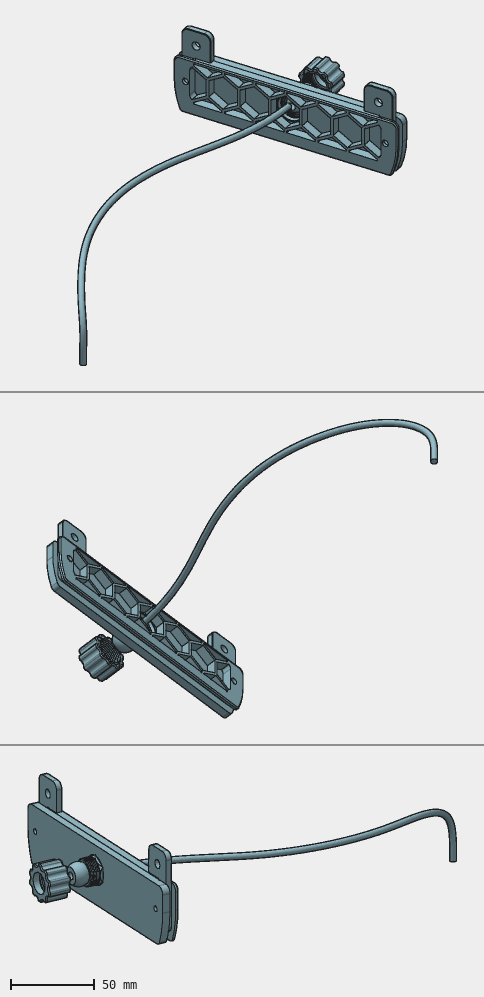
import cadquery as cq
import math


plate_length = 154.8
plate_top = 16.2
plate_bottom = -22.2
plate_top_radius = 4.4
plate_bottom_radius = 3.0
plate_side_arc_radius = 57.0
bezel_thickness = 2.2
bezel_edge_chamfer = 0.8
core_depth = 4.0
back_plate_thickness = 5.1
core_length = 133.8
core_bottom = -16.1
core_corner_radius = 3.4

cell_pitch = 21.5
rib_width = 1.9
honeycomb_length = 132.2
honeycomb_height = 28.0
end_cell_corner_radius = 3.0
cell_columns = 7

screw_spacing = 138.2
screw_clearance_diameter = 4.2
screw_pilot_diameter = 3.4

tab_spacing = 126.0
tab_width = 20.0
tab_top = 35.8
tab_corner_radius = 4.5
tab_foot_radius = 3.5
tab_front_chamfer = 0.4
tab_clearance = 0.5
tab_hole_diameter = 5.5
tab_hole_height = 25.6

shank_diameter = 19.0
hexagon_across_flats = 17.3
hexagon_length = 1.8
thread_major_diameter = 17.53
thread_minor_diameter = 16.0
thread_length = 6.1
thread_turns = 6
dome_diameter = 15.24
dome_end_diameter = 11.0
neck_diameter = 13.46
neck_length = 0.3
cable_bore_diameter = 4.7
mouth_diameter = 17.53
mouth_depth = 2.0
socket_diameters = (16.0, 15.24, 13.46)
socket_step_depth = 1.0
nose_diameter = 11.0
nose_length = 3.5
nose_shoulder_diameter = 9.425
nose_shoulder_height = 2.1

nut_rear = 50.55
nut_length = 15.4
nut_diameter = 24.4
nut_flutes = 10
flute_radius = 2.2
flute_circle_diameter = 25.4
flute_edge_radius = 1.1
nut_edge_chamfer = 0.8
nut_bore_diameter = 16.77
nut_thread_groove_diameter = 18.2
nut_bore_depth = 11.0
nut_thread_turns = 9
nut_outlet_diameter = 13.46

cable_diameter = 4.2
cable_end_height = -48.68
cable_end_depth = -238.4
cable_start_tangent = (-0.05, -1, 0)
cable_bends = (
    (-1.9, 7.2, 0),
    (-13.0, -42.4, 0),
    (-30.6, -84.4, 0),
    (-39.0, -129.0, 0),
    (-32.9, -173.7, -1.2),
    (-16.6, -212.2, -6.2),
    (-5.5, -230.5, -16.2),
    (-1.0, -236.7, -26.0),
    (0, cable_end_depth, -37.0),
    (0, cable_end_depth, cable_end_height),
)

core_back = bezel_thickness + core_depth
back_plate_rear = core_back + back_plate_thickness
sides = (-1, 1)


def facing_front(depth):
    """Sketch plane at a given Y: local x is X, local y is Z, extruding toward +Y when negative."""
    return cq.Workplane("XZ", origin=(0, depth, 0))


def rod(x, z, diameter, start, end):
    """Cylinder along Y between two depths."""
    return facing_front(start).center(x, z).circle(diameter / 2).extrude(start - end)


def plate(start, thickness):
    """Plate with straight upper sides and lower sides that curve inward below Z = 0."""
    half = plate_length / 2

    def side_x(z):
        return half - plate_side_arc_radius + math.sqrt(plate_side_arc_radius**2 - z**2)

    middle = plate_bottom / 2
    outline = (
        facing_front(start)
        .moveTo(half, 0)
        .lineTo(half, plate_top)
        .lineTo(-half, plate_top)
        .lineTo(-half, 0)
        .threePointArc((-side_x(middle), middle), (-side_x(plate_bottom), plate_bottom))
        .lineTo(side_x(plate_bottom), plate_bottom)
        .threePointArc((side_x(middle), middle), (half, 0))
        .close()
    )
    body = outline.extrude(-thickness)
    body = body.edges("|Y").edges(">Z").fillet(plate_top_radius)
    return body.edges("|Y").edges("<Z").fillet(plate_bottom_radius)


def screw_holes(diameter, start, end):
    holes = cq.Workplane()
    for side in sides:
        holes = holes.add(rod(side * screw_spacing / 2, 0, diameter, start, end))
    return holes.combine()


def core(start, end):
    """Rounded block that stands between the two plates."""
    block = facing_front(start).center(0, (plate_top + core_bottom) / 2)
    block = block.rect(core_length, plate_top - core_bottom).extrude(start - end)
    return block.edges("|Y").fillet(core_corner_radius)


def hexagon(across_flats, length):
    """Hexagonal prism along +Y from Y = 0, with two flats facing +-X."""
    across_corners = across_flats / math.cos(math.pi / 6)
    prism = facing_front(0).polygon(6, across_corners).extrude(-length)
    return prism.rotate((0, 0, 0), (0, 1, 0), 30)


def honeycomb_pockets():
    """Three rows of hexagonal cells, trimmed to a rectangle, with the end cells' corners rounded."""
    row_pitch = cell_pitch * math.cos(math.pi / 6)
    centres = []
    for column in range(cell_columns):
        centres.append(((column - (cell_columns - 1) / 2) * cell_pitch, 0))
    for row in (-1, 1):
        for column in range(cell_columns - 1):
            centres.append(((column - cell_columns / 2 + 1) * cell_pitch, row * row_pitch))
    cell = hexagon(cell_pitch - rib_width, core_back)
    cells = cq.Workplane()
    for x, z in centres:
        cells = cells.add(cell.translate((x, 0, z)))
    window = facing_front(0).rect(honeycomb_length, honeycomb_height).extrude(-core_back)
    pockets = cells.combine().intersect(window)
    return pockets.faces("<X or >X").edges("|Y").fillet(end_cell_corner_radius)


def make_bezel():
    face = plate(0, bezel_thickness).faces("<Y").chamfer(bezel_edge_chamfer)
    body = face.union(core(bezel_thickness, core_back))
    body = body.cut(honeycomb_pockets())
    return body.cut(screw_holes(screw_clearance_diameter, 0, core_back))


def make_back_plate():
    body = plate(core_back, back_plate_thickness)
    body = body.cut(rod(0, 0, shank_diameter, core_back, back_plate_rear))
    return body.cut(screw_holes(screw_pilot_diameter, core_back, back_plate_rear))


def make_tab(side):
    """Tab that rests over a core corner, with a leg reaching down past the screw."""
    x = side * tab_spacing / 2
    body = facing_front(bezel_thickness).center(x, (tab_top + core_bottom) / 2)
    body = body.rect(tab_width, tab_top - core_bottom).extrude(-core_depth)
    body = body.edges("|Y").edges(">Z").fillet(tab_corner_radius)
    body = body.edges("|Y").edges("<Z").fillet(tab_foot_radius)
    body = body.faces("<Y").edges().chamfer(tab_front_chamfer)
    body = body.cut(core(bezel_thickness, core_back))
    flat_length = core_length - 2 * core_corner_radius
    gap = facing_front(bezel_thickness).center(0, plate_top + tab_clearance / 2)
    gap = gap.rect(flat_length, tab_clearance).extrude(-core_depth)
    body = body.cut(gap)
    body = body.cut(screw_holes(screw_clearance_diameter, bezel_thickness, core_back))
    return body.cut(rod(x, tab_hole_height, tab_hole_diameter, bezel_thickness, core_back))


def gland_hexagon():
    """Hexagon with flats on +-X, its corners taken off by a cone."""
    across_corners = hexagon_across_flats / math.cos(math.pi / 6)
    prism = hexagon(hexagon_across_flats, hexagon_length)
    cone = (
        facing_front(0)
        .circle(across_corners / 2)
        .workplane(offset=-hexagon_length)
        .circle(hexagon_across_flats / 2)
        .loft()
    )
    return prism.intersect(cone).translate((0, back_plate_rear, 0))


def turned(profile):
    """Close a half profile in the XY plane and turn it about the Y axis."""
    return profile.close().revolve(360, (0, 0, 0), (0, 1, 0))


def ridged_profile(start, length, base_diameter, peak_diameter, turns):
    """Half profile from the axis out to a row of V-shaped thread ridges, ending at the base diameter."""
    pitch = length / turns
    base = base_diameter / 2
    peak = peak_diameter / 2
    profile = cq.Workplane("XY").moveTo(0, start).lineTo(base, start)
    for turn in range(turns):
        root = start + turn * pitch
        profile = profile.lineTo(peak, root + pitch / 2).lineTo(base, root + pitch)
    return profile


def gland_outside():
    """Thread, neck and spherical dome."""
    thread_start = back_plate_rear + hexagon_length
    neck_start = thread_start + thread_length
    neck_end = neck_start + neck_length
    dome = dome_diameter / 2
    neck = neck_diameter / 2
    tip = dome_end_diameter / 2
    dome_centre = neck_end + math.sqrt(dome**2 - neck**2)
    dome_end = dome_centre + math.sqrt(dome**2 - tip**2)
    profile = ridged_profile(
        thread_start, thread_length, thread_minor_diameter, thread_major_diameter, thread_turns
    )
    profile = profile.lineTo(neck, neck_start).lineTo(neck, neck_end)
    profile = profile.threePointArc((dome, dome_centre), (tip, dome_end)).lineTo(0, dome_end)
    return turned(profile)


def gland_socket():
    """Stepped front opening around a rounded nose."""
    depth = core_back + mouth_depth
    profile = cq.Workplane("XY").moveTo(0, core_back).lineTo(mouth_diameter / 2, core_back)
    for diameter in socket_diameters:
        profile = profile.lineTo(diameter / 2, depth)
        depth += socket_step_depth
        profile = profile.lineTo(diameter / 2, depth)
    root = nose_diameter / 2
    tip = cable_bore_diameter / 2
    shoulder = nose_shoulder_diameter / 2
    nose_end = depth - nose_length
    profile = (
        profile.lineTo(root, depth)
        .threePointArc((shoulder, depth - nose_shoulder_height), (tip, nose_end))
        .lineTo(0, nose_end)
    )
    return turned(profile)


def make_gland():
    body = rod(0, 0, shank_diameter, core_back, back_plate_rear)
    body = body.union(gland_hexagon()).union(gland_outside())
    body = body.cut(gland_socket())
    return body.cut(rod(0, 0, cable_bore_diameter, core_back, nut_rear))


def make_nut():
    nut_front = nut_rear - nut_length
    body = rod(0, 0, nut_diameter, nut_front, nut_rear)
    for flute in range(nut_flutes):
        angle = 2 * math.pi * flute / nut_flutes
        x = flute_circle_diameter / 2 * math.cos(angle)
        z = flute_circle_diameter / 2 * math.sin(angle)
        body = body.cut(rod(x, z, 2 * flute_radius, nut_front, nut_rear))
    body = body.edges("|Y").fillet(flute_edge_radius)
    body = body.faces("<Y or >Y").edges().chamfer(nut_edge_chamfer)
    bore = ridged_profile(
        nut_front, nut_bore_depth, nut_bore_diameter, nut_thread_groove_diameter, nut_thread_turns
    )
    body = body.cut(turned(bore.lineTo(0, nut_front + nut_bore_depth)))
    return body.cut(rod(0, 0, nut_outlet_diameter, nut_front, nut_rear))


def make_cable():
    """Round cable that leaves the gland, swings toward -X and ends hanging straight down."""
    bends = [cq.Vector(*point) for point in cable_bends]
    path = cq.Workplane("XY").spline(bends, tangents=[cable_start_tangent, (0, 0, -1)])
    start = cq.Plane(origin=cable_bends[0], xDir=(0, 0, 1), normal=cable_start_tangent)
    return cq.Workplane(start).circle(cable_diameter / 2).sweep(path)


bezel = make_bezel()
back_plate = make_back_plate()
tabs = [make_tab(side) for side in sides]
gland = make_gland()
nut = make_nut()
cable = make_cable()

result = cq.Compound.makeCompound(
    [bezel.val(), back_plate.val(), *[tab.val() for tab in tabs], gland.val(), nut.val(), cable.val()]
)